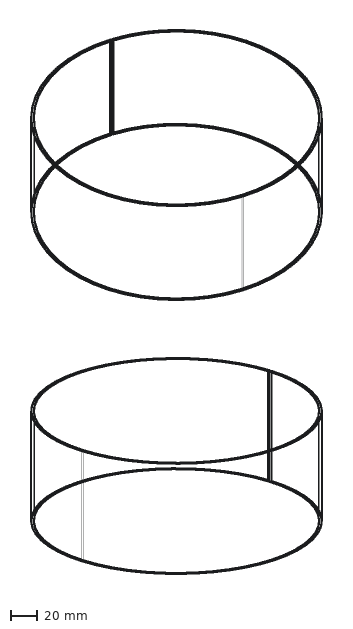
import cadquery as cq

outer_diameter = 220.0
wall = 2.5
height = 90.0
slit_width = 1.8
edge_chamfer = 0.5

outer_radius = outer_diameter / 2
inner_radius = outer_radius - wall

band = (
    cq.Workplane("XY")
    .circle(outer_radius)
    .circle(inner_radius)
    .extrude(height)
    .edges("%CIRCLE")
    .chamfer(edge_chamfer)
)

slit = (
    cq.Workplane("XY")
    .box(outer_diameter, slit_width, height, centered=False)
    .translate((-outer_diameter, 0, 0))
)

result = band.cut(slit)